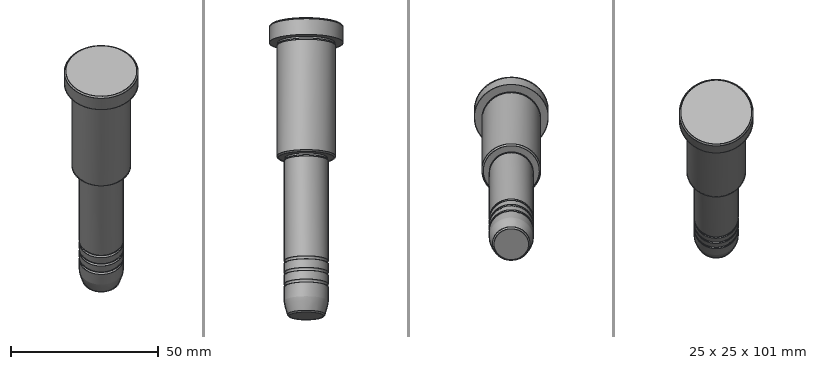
import cadquery as cq

total_length = 101.0
head_height = 6.0
body_bottom = 55.0
tip_height = 5.0

head_radius = 12.5
body_radius = 10.0
shank_radius = 7.5
tip_radius = 6.4
tip_bulge = 0.15

edge_chamfer = 0.5

relief_depth = 0.3
relief_height = 1.1
relief_neck = 0.6

ring_width = 1.0
ring_pitch = 4.0
ring_count = 3
lowest_ring_bottom = 10.1

head_bottom = total_length - head_height
tip_middle_radius = (tip_radius + shank_radius) / 2 + tip_bulge
tip_middle_height = (edge_chamfer + tip_height) / 2


def stepped_pin():
    """Revolve the half outline of head, body, shank and bowed tip."""
    outline = (
        cq.Workplane("XZ")
        .lineTo(tip_radius - edge_chamfer, 0)
        .lineTo(tip_radius, edge_chamfer)
        .threePointArc((tip_middle_radius, tip_middle_height), (shank_radius, tip_height))
        .lineTo(shank_radius, body_bottom - relief_height)
        .lineTo(shank_radius - relief_depth, body_bottom - relief_neck)
        .lineTo(shank_radius - relief_depth, body_bottom)
        .lineTo(body_radius - edge_chamfer, body_bottom)
        .lineTo(body_radius, body_bottom + edge_chamfer)
        .lineTo(body_radius, head_bottom - relief_height)
        .lineTo(body_radius - relief_depth, head_bottom - relief_neck)
        .lineTo(body_radius - relief_depth, head_bottom)
        .lineTo(head_radius, head_bottom)
        .lineTo(head_radius, total_length - edge_chamfer)
        .lineTo(head_radius - edge_chamfer, total_length)
        .lineTo(0, total_length)
        .close()
    )
    return outline.revolve(360, (0, 0, 0), (0, 1, 0))


def ring_groove(bottom):
    """Torus cutter for one half-round groove in the shank."""
    return (
        cq.Workplane("XZ")
        .center(shank_radius, bottom + ring_width / 2)
        .circle(ring_width / 2)
        .revolve(360, (-shank_radius, 0, 0), (-shank_radius, 1, 0))
    )


result = stepped_pin()
for index in range(ring_count):
    result = result.cut(ring_groove(lowest_ring_bottom + index * ring_pitch))